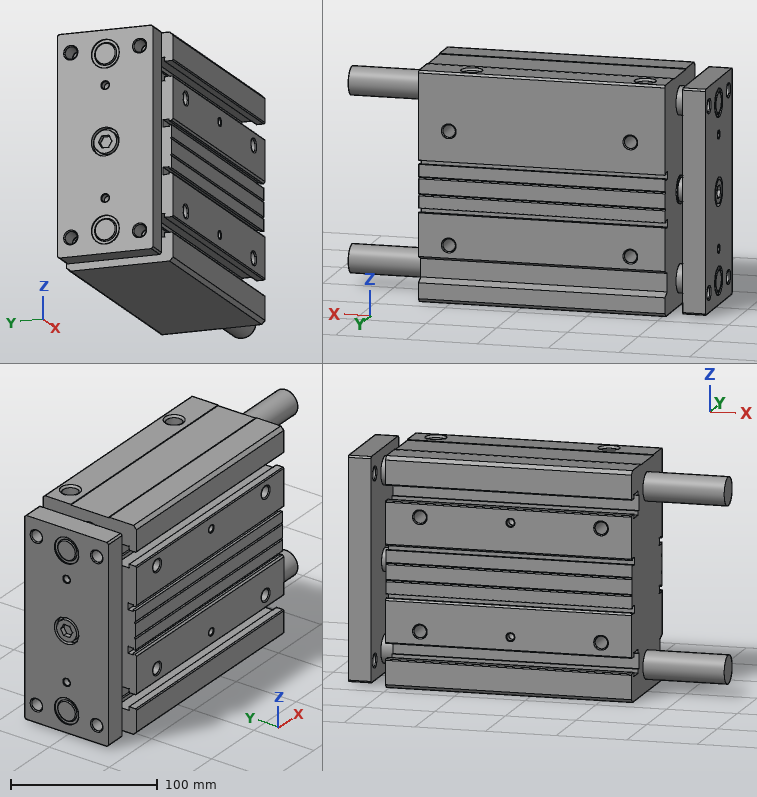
import cadquery as cq
import math


TOTAL_LENGTH = 259.0

PLATE_THICKNESS = 16.0
PLATE_WIDTH = 70.0
PLATE_HEIGHT = 158.0
PLATE_CHAMFER = 1.3
PLATE_BOLT_Y = 25.0
PLATE_BOLT_Z = 65.3
ROD_RECESS_RADIUS = 10.0
GUIDE_RECESS_DEPTH = 1.0
PISTON_RECESS_DEPTH = 4.0

HOUSING_START = 27.5
HOUSING_END = 201.5
HOUSING_WIDTH = 78.0
HOUSING_HEIGHT = 162.0
CORNER_CHAMFER = 2.5
PORT_CORNER_CHAMFER = 1.5
COLLAR_RADIUS = 9.8
COLLAR_LENGTH = 0.8

TOP_CHANNEL_HALF_WIDTH = 15.8
TOP_CHANNEL_DEPTH = 0.5

T_SLOT_Z = 55.2
T_SLOT_MOUTH = 11.0
T_SLOT_LIP = 6.2
T_SLOT_INNER = 16.5
T_SLOT_SHELF = 16.8
T_SLOT_DEPTH = 18.5
T_SLOT_CHAMFER = 0.8

TAPER_SLOT_Z = -58.0
TAPER_SLOT_MOUTH = 18.5
TAPER_SLOT_FLOOR = 13.0
TAPER_SLOT_DEPTH = 6.2

SENSOR_SLOT_INNER_Z = 15.3
SENSOR_SLOT_OUTER_Z = 18.5
SENSOR_SLOT_CHAMFER = 1.3
SENSOR_SLOT_LIP = 3.0
SENSOR_SLOT_DEPTH = 7.3
SENSOR_SLOT_UNDERCUT = 1.0
BAND_RECESS = 1.0
BAND_GROOVE_Z = 6.0
BAND_GROOVE_WIDTH = 1.5
BAND_GROOVE_DEPTH = 0.8

BOLT_HOLE_RADIUS = 4.5
BOLT_HOLE_CHAMFER = 0.8
DOWEL_RADIUS = 2.5
DOWEL_CHAMFER = 0.5
DOWEL_DEPTH = 5.2
DOWEL_Z = 40.0
HOUSING_BOLT_X = (51.8, 180.0)
PORT_X = (44.3, 166.8)
PORT_Y = 28.0
PORT_RADIUS = 6.0
PORT_CHAMFER = 1.5
PORT_DEPTH = 10.4
PORT_FLOOR_RADIUS = 1.8
DRILL_POINT_ANGLE = 118.0

GUIDE_ROD_RADIUS = 10.0
GUIDE_ROD_Z = 62.2
GUIDE_NECK_RADIUS = 8.0
GUIDE_NECK_CHAMFER = 0.8
PISTON_ROD_RADIUS = 8.3
PISTON_ROD_END = 51.8
SOCKET_ACROSS_FLATS = 8.5
SOCKET_DEPTH = 3.5

HALF_WIDTH = HOUSING_WIDTH / 2
HALF_HEIGHT = HOUSING_HEIGHT / 2
HOUSING_LENGTH = HOUSING_END - HOUSING_START
DOWEL_X = sum(HOUSING_BOLT_X) / 2
GUIDE_ROD_CENTRES = (GUIDE_ROD_Z, -GUIDE_ROD_Z)
DRILL_POINT_SLOPE = 1 / math.tan(math.radians(DRILL_POINT_ANGLE / 2))

ALONG_X = cq.Vector(1, 0, 0)
ALONG_Y = cq.Vector(0, 1, 0)
DOWN = cq.Vector(0, 0, -1)


def cylinder_x(radius, start, end, z=0):
    """Cylinder along X on the Y = 0 plane, between two X positions."""
    section = cq.Plane(origin=(start, 0, z), xDir=(0, 0, 1), normal=(1, 0, 0))
    return cq.Workplane(section).circle(radius).extrude(end - start)


def countersink(radius, chamfer, mouth, direction):
    """Cone that chamfers the mouth of a hole by 45 degrees."""
    return cq.Workplane(cq.Solid.makeCone(radius + chamfer, radius, chamfer, mouth, direction))


def through_hole(radius, chamfer, mouth, direction, length):
    """Cutter for a straight hole with a chamfer at both mouths."""
    far_mouth = mouth + direction * length
    bore = cq.Workplane(cq.Solid.makeCylinder(radius, length, mouth, direction))
    near_chamfer = countersink(radius, chamfer, mouth, direction)
    far_chamfer = countersink(radius, chamfer, far_mouth, direction * -1)
    return bore.union(near_chamfer).union(far_chamfer)


def drilled_hole(radius, chamfer, depth, mouth, direction, floor_radius=0):
    """Cutter for a blind hole with a chamfered mouth and a conical bottom."""
    bore = cq.Workplane(cq.Solid.makeCylinder(radius, depth, mouth, direction))
    point_length = (radius - floor_radius) * DRILL_POINT_SLOPE
    point = cq.Solid.makeCone(radius, floor_radius, point_length, mouth + direction * depth, direction)
    return bore.union(cq.Workplane(point)).union(countersink(radius, chamfer, mouth, direction))


def housing_prism(points):
    """Closed outline of (y, z) points, extruded over the housing length."""
    return cq.Workplane("YZ", origin=(HOUSING_START, 0, 0)).polyline(points).close().extrude(HOUSING_LENGTH)


def t_slot(z):
    """T-slot with a groove along its floor, as wide as the mouth."""
    mouth = T_SLOT_MOUTH / 2
    inner = T_SLOT_INNER / 2
    surface = -HALF_WIDTH
    lower_half = [
        (surface, -mouth - T_SLOT_CHAMFER),
        (surface + T_SLOT_CHAMFER, -mouth),
        (surface + T_SLOT_LIP, -mouth),
        (surface + T_SLOT_LIP, -inner),
        (surface + T_SLOT_SHELF, -inner),
        (surface + T_SLOT_SHELF, -mouth),
        (surface + T_SLOT_DEPTH, -mouth),
    ]
    upper_half = [(y, -offset) for y, offset in reversed(lower_half)]
    return housing_prism([(y, z + offset) for y, offset in lower_half + upper_half])


def taper_slot():
    floor = HALF_WIDTH - TAPER_SLOT_DEPTH
    return housing_prism([
        (HALF_WIDTH, TAPER_SLOT_Z - TAPER_SLOT_MOUTH / 2),
        (HALF_WIDTH, TAPER_SLOT_Z + TAPER_SLOT_MOUTH / 2),
        (floor, TAPER_SLOT_Z + TAPER_SLOT_FLOOR / 2),
        (floor, TAPER_SLOT_Z - TAPER_SLOT_FLOOR / 2),
    ])


def top_channel():
    return cq.Workplane("XY").box(
        HOUSING_LENGTH, 2 * TOP_CHANNEL_HALF_WIDTH, TOP_CHANNEL_DEPTH, centered=(False, True, False)
    ).translate((HOUSING_START, 0, HALF_HEIGHT - TOP_CHANNEL_DEPTH))


def sensor_band(side, chamfer):
    """Recessed band with its two undercut sensor slots and two V-grooves; side is +1 for +Y, -1 for -Y."""
    surface = side * HALF_WIDTH
    chamfer_y = side * (HALF_WIDTH - chamfer)
    band = side * (HALF_WIDTH - BAND_RECESS)
    lip = side * (HALF_WIDTH - SENSOR_SLOT_LIP)
    floor = side * (HALF_WIDTH - SENSOR_SLOT_DEPTH)
    groove_floor = side * (HALF_WIDTH - BAND_RECESS - BAND_GROOVE_DEPTH)
    groove_start = BAND_GROOVE_Z - BAND_GROOVE_WIDTH / 2
    groove_end = BAND_GROOVE_Z + BAND_GROOVE_WIDTH / 2
    inner_undercut = SENSOR_SLOT_INNER_Z - SENSOR_SLOT_UNDERCUT
    outer_undercut = SENSOR_SLOT_OUTER_Z + SENSOR_SLOT_UNDERCUT

    upper_half = [
        (band, groove_start),
        (groove_floor, BAND_GROOVE_Z),
        (band, groove_end),
        (band, SENSOR_SLOT_INNER_Z),
        (lip, SENSOR_SLOT_INNER_Z),
        (lip, inner_undercut),
        (floor, inner_undercut),
        (floor, outer_undercut),
        (lip, outer_undercut),
        (lip, SENSOR_SLOT_OUTER_Z),
        (chamfer_y, SENSOR_SLOT_OUTER_Z),
    ]
    if chamfer:
        upper_half.append((surface, SENSOR_SLOT_OUTER_Z + chamfer))
    lower_half = [(y, -z) for y, z in reversed(upper_half)]
    return housing_prism(upper_half + lower_half)


def make_housing():
    body = housing_prism([
        (-HALF_WIDTH + CORNER_CHAMFER, -HALF_HEIGHT),
        (HALF_WIDTH - CORNER_CHAMFER, -HALF_HEIGHT),
        (HALF_WIDTH, -HALF_HEIGHT + CORNER_CHAMFER),
        (HALF_WIDTH, HALF_HEIGHT - PORT_CORNER_CHAMFER),
        (HALF_WIDTH - PORT_CORNER_CHAMFER, HALF_HEIGHT),
        (-HALF_WIDTH + CORNER_CHAMFER, HALF_HEIGHT),
        (-HALF_WIDTH, HALF_HEIGHT - CORNER_CHAMFER),
        (-HALF_WIDTH, -HALF_HEIGHT + CORNER_CHAMFER),
    ])
    body = body.union(cylinder_x(COLLAR_RADIUS, HOUSING_START - COLLAR_LENGTH, HOUSING_START))

    body = body.cut(top_channel()).cut(taper_slot())
    for z in (T_SLOT_Z, -T_SLOT_Z):
        body = body.cut(t_slot(z))
    body = body.cut(sensor_band(1, 0)).cut(sensor_band(-1, SENSOR_SLOT_CHAMFER))

    body = body.cut(cylinder_x(PISTON_ROD_RADIUS, HOUSING_START - COLLAR_LENGTH, PISTON_ROD_END))
    for z in GUIDE_ROD_CENTRES:
        body = body.cut(cylinder_x(GUIDE_ROD_RADIUS, HOUSING_START, HOUSING_END, z))

    for z in (DOWEL_Z, -DOWEL_Z):
        for x in HOUSING_BOLT_X:
            mouth = cq.Vector(x, -HALF_WIDTH, z)
            hole = through_hole(BOLT_HOLE_RADIUS, BOLT_HOLE_CHAMFER, mouth, ALONG_Y, HOUSING_WIDTH)
            body = body.cut(hole)
        mouth = cq.Vector(DOWEL_X, -HALF_WIDTH, z)
        body = body.cut(drilled_hole(DOWEL_RADIUS, DOWEL_CHAMFER, DOWEL_DEPTH, mouth, ALONG_Y))

    for x in PORT_X:
        mouth = cq.Vector(x, PORT_Y, HALF_HEIGHT)
        port = drilled_hole(PORT_RADIUS, PORT_CHAMFER, PORT_DEPTH, mouth, DOWN, PORT_FLOOR_RADIUS)
        body = body.cut(port)
    return body


def make_plate():
    plate = cq.Workplane("XY").box(PLATE_THICKNESS, PLATE_WIDTH, PLATE_HEIGHT, centered=(False, True, True))
    plate = plate.edges("|X").chamfer(PLATE_CHAMFER)

    rod_holes = [(0, PISTON_ROD_RADIUS, PISTON_RECESS_DEPTH)]
    rod_holes += [(z, GUIDE_NECK_RADIUS, GUIDE_RECESS_DEPTH) for z in GUIDE_ROD_CENTRES]
    for z, radius, recess_depth in rod_holes:
        plate = plate.cut(cylinder_x(radius, 0, PLATE_THICKNESS, z))
        plate = plate.cut(cylinder_x(ROD_RECESS_RADIUS, 0, recess_depth, z))

    for side in (1, -1):
        for y in (PLATE_BOLT_Y, -PLATE_BOLT_Y):
            mouth = cq.Vector(0, y, side * PLATE_BOLT_Z)
            hole = through_hole(BOLT_HOLE_RADIUS, BOLT_HOLE_CHAMFER, mouth, ALONG_X, PLATE_THICKNESS)
            plate = plate.cut(hole)
        mouth = cq.Vector(0, 0, side * DOWEL_Z)
        plate = plate.cut(drilled_hole(DOWEL_RADIUS, DOWEL_CHAMFER, DOWEL_DEPTH, mouth, ALONG_X))
    return plate


def make_guide_rod(z):
    neck = cylinder_x(GUIDE_NECK_RADIUS, 0, PLATE_THICKNESS, z).faces("<X").chamfer(GUIDE_NECK_CHAMFER)
    return neck.union(cylinder_x(GUIDE_ROD_RADIUS, PLATE_THICKNESS, TOTAL_LENGTH, z))


def make_piston_rod():
    rod = cylinder_x(PISTON_ROD_RADIUS, 0, PISTON_ROD_END)
    across_corners = SOCKET_ACROSS_FLATS / math.cos(math.pi / 6)
    socket = cq.Workplane("YZ").polygon(6, across_corners).extrude(SOCKET_DEPTH)
    return rod.cut(socket)


housing = make_housing()
plate = make_plate()
piston_rod = make_piston_rod()
guide_rods = [make_guide_rod(z) for z in GUIDE_ROD_CENTRES]

result = cq.Compound.makeCompound(
    [housing.val(), plate.val(), piston_rod.val(), *[rod.val() for rod in guide_rods]]
)